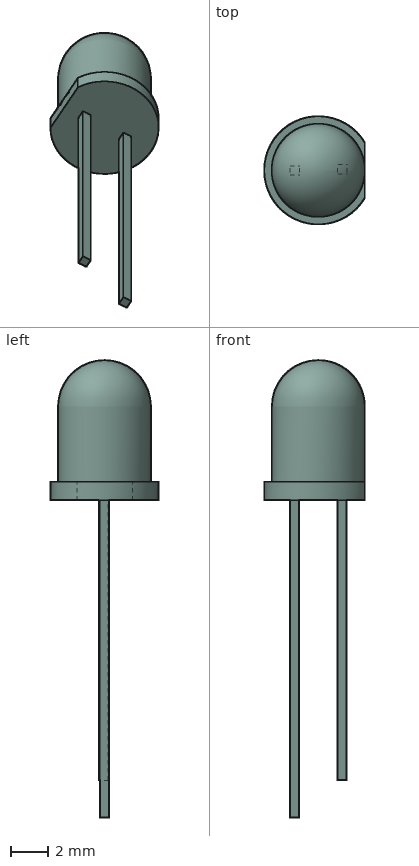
import cadquery as cq

lens_diameter = 5.0
lens_radius = lens_diameter / 2
flange_diameter = 5.8
flange_height = 0.98
body_height = 7.5

lead_width = 0.5
lead_pitch = 2.55
overall_height = 24.5
long_lead_length = overall_height - body_height
short_lead_length = 15.0
short_lead_offset = 0.07


def make_flange():
    """Round flange with one flat, tangent to the lens on the +X side."""
    disc = cq.Workplane("XY").circle(flange_diameter / 2).extrude(flange_height)
    beyond_flat = (
        cq.Workplane("XY")
        .box(flange_diameter, flange_diameter, flange_height, centered=(False, True, False))
        .translate((lens_radius, 0, 0))
    )
    return disc.cut(beyond_flat)


def make_lens():
    """Cylinder and dome revolved as one profile about the Z axis."""
    dome_base = body_height - lens_radius
    dome_midpoint = lens_radius * 0.5**0.5
    return (
        cq.Workplane("XZ")
        .moveTo(0, 0)
        .lineTo(lens_radius, 0)
        .lineTo(lens_radius, dome_base)
        .threePointArc((dome_midpoint, dome_base + dome_midpoint), (0, body_height))
        .close()
        .revolve(360, (0, 0, 0), (0, 1, 0))
    )


def make_lead(x, y, length):
    """Square lead centred at (x, y), running down from the flange."""
    return cq.Workplane("XY").center(x, y).rect(lead_width, lead_width).extrude(-length)


result = (
    make_flange()
    .union(make_lens())
    .union(make_lead(-lead_pitch / 2, 0, long_lead_length))
    .union(make_lead(lead_pitch / 2, short_lead_offset, short_lead_length))
)